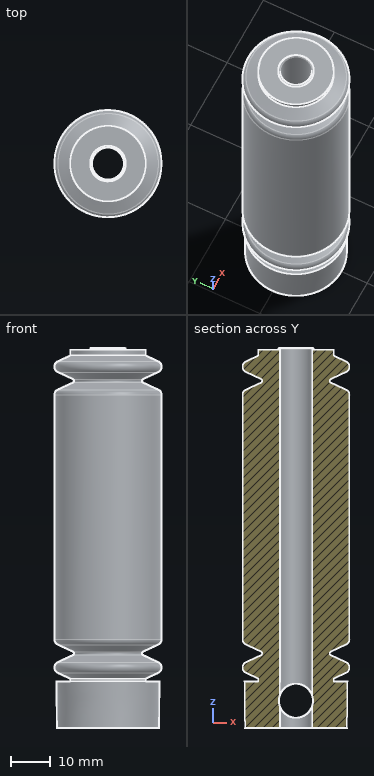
import cadquery as cq
import math

total_height = 95.5
base_height = 11.75
shoulder_height = 95.1

body_diameter = 27.0
boss_diameter = 19.0
bore_diameter = 8.0
lip_diameter = 9.0
base_top_diameter = 26.0
base_bottom_diameter = 25.7
side_hole_diameter = 8.5

groove_spacing = 68.45
groove_to_bead = 3.55
lower_groove_height = 18.8
cone_angle = math.radians(25.0)
bead_radius = 1.5
groove_root_radius = 0.45

side_hole_height = 6.9

body_radius = body_diameter / 2
boss_radius = boss_diameter / 2
bore_radius = bore_diameter / 2
lip_radius = lip_diameter / 2
upper_groove_height = lower_groove_height + groove_spacing
lower_bead_height = lower_groove_height - groove_to_bead
upper_bead_height = upper_groove_height + groove_to_bead
lip_round_radius = (lip_radius - bore_radius) / 2

tangent_rise = bead_radius * math.cos(cone_angle)
tangent_radius = body_radius - bead_radius * (1 - math.sin(cone_angle))

mid_angle = (math.pi / 2 - cone_angle) / 2
mid_rise = bead_radius * math.sin(mid_angle)
mid_radius = body_radius - bead_radius * (1 - math.cos(mid_angle))

groove_apex_radius = tangent_radius - (groove_to_bead - tangent_rise) / math.tan(cone_angle)
root_centre_radius = groove_apex_radius + groove_root_radius / math.sin(cone_angle)
root_bottom_radius = root_centre_radius - groove_root_radius
root_tangent_radius = root_centre_radius - groove_root_radius * math.sin(cone_angle)
root_tangent_rise = groove_root_radius * math.cos(cone_angle)

boss_cone_rise = (tangent_radius - boss_radius) * math.tan(cone_angle)


def add_groove_root(profile, height):
    """Add a groove's lower flank and rounded root, up to the start of its upper flank."""
    return (
        profile
        .lineTo(root_tangent_radius, height - root_tangent_rise)
        .threePointArc((root_bottom_radius, height), (root_tangent_radius, height + root_tangent_rise))
    )


def add_bead(profile, height):
    """Add the flank below a bead, then the round over its crest."""
    return (
        profile
        .lineTo(tangent_radius, height - tangent_rise)
        .threePointArc((body_radius, height), (tangent_radius, height + tangent_rise))
    )


def add_cylinder(profile, bottom_crest, top_crest):
    """Add the main cylinder with its rounded lower and upper edges."""
    return (
        profile
        .lineTo(tangent_radius, bottom_crest - tangent_rise)
        .threePointArc((mid_radius, bottom_crest - mid_rise), (body_radius, bottom_crest))
        .lineTo(body_radius, top_crest)
        .threePointArc((mid_radius, top_crest + mid_rise), (tangent_radius, top_crest + tangent_rise))
    )


def make_turned_body():
    """Revolve the complete half section, through bore included."""
    profile = (
        cq.Workplane("XZ")
        .moveTo(bore_radius, 0)
        .lineTo(base_bottom_diameter / 2, 0)
        .lineTo(base_top_diameter / 2, base_height)
        .lineTo(boss_radius, base_height)
        .lineTo(boss_radius, lower_bead_height - tangent_rise - boss_cone_rise)
    )
    profile = add_bead(profile, lower_bead_height)
    profile = add_groove_root(profile, lower_groove_height)
    profile = add_cylinder(
        profile,
        lower_groove_height + groove_to_bead,
        upper_groove_height - groove_to_bead,
    )
    profile = add_groove_root(profile, upper_groove_height)
    profile = add_bead(profile, upper_bead_height)
    profile = (
        profile
        .lineTo(boss_radius, upper_bead_height + tangent_rise + boss_cone_rise)
        .lineTo(boss_radius, shoulder_height)
        .lineTo(lip_radius, shoulder_height)
        .lineTo(lip_radius, total_height - lip_round_radius)
        .threePointArc(
            (lip_radius - lip_round_radius, total_height),
            (bore_radius, total_height - lip_round_radius),
        )
        .close()
    )
    return profile.revolve(360, (0, 0, 0), (0, 1, 0))


def make_side_hole():
    """Radial hole through the +Y wall of the base, into the bore."""
    return (
        cq.Workplane("XZ")
        .center(0, side_hole_height)
        .circle(side_hole_diameter / 2)
        .extrude(-body_radius)
    )


result = make_turned_body().cut(make_side_hole())